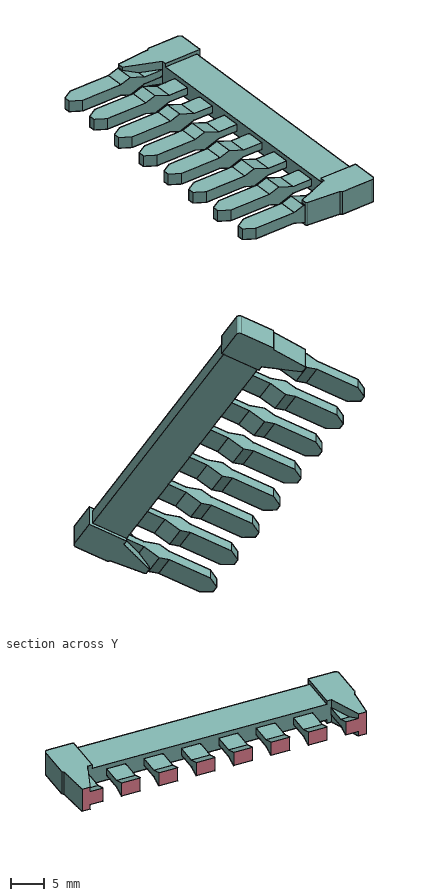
import cadquery as cq

total_width = 47.9
total_length = 22.78

bar_thickness = 2.8
bar_depth = 5.8
bar_setback = 0.58
bar_back = total_length - bar_setback
bar_front = bar_back - bar_depth
bar_middle = (bar_back + bar_front) / 2

prong_count = 8
prong_pitch = 6.1
prong_width = 3.1
prong_thickness = 1.9
root_thickness = 1.2
prong_tip_width = 1.05
prong_taper_length = 1.7
prong_root = bar_middle
bulge_thickness = 3.1
bulge_front = 8.73
bulge_peak = 10.45
bulge_back = 13.06

head_thickness = 4.0
head_width = 4.8
head_corner_radius = 0.55
head_length = 12.05
head_tip = total_length - head_length
step_setback = 6.0
step_length = 0.25
step_back = total_length - step_setback
step_front = step_back - step_length
step_depth = 0.27
tip_outer_inset = 0.78
tip_inner_inset = 1.8
head_inner_inset = 4.05
tip_radius = 0.2


def extrude_centred(outline, thickness):
    """Extrude an outline equally to both sides of its own plane."""
    return outline.extrude(thickness / 2, both=True)


def make_bar():
    """Plain bar reaching into the middle of both heads."""
    length_x = total_width - head_width
    return cq.Workplane("XY").box(length_x, bar_depth, bar_thickness).translate((0, bar_middle, 0))


def make_prong(x_centre):
    """Prong with a thin root, a tapered tip and a ridge on its upper and lower faces."""
    half_width = prong_width / 2
    half_tip = prong_tip_width / 2
    plan = extrude_centred(
        cq.Workplane("XY").polyline([
            (-half_width, prong_root),
            (-half_width, prong_taper_length),
            (-half_tip, 0),
            (half_tip, 0),
            (half_width, prong_taper_length),
            (half_width, prong_root),
        ]).close(),
        bulge_thickness,
    )
    flat = prong_thickness / 2
    peak = bulge_thickness / 2
    root = root_thickness / 2
    upper_edge = [
        (0, flat),
        (bulge_front, flat),
        (bulge_peak, peak),
        (bulge_back, root),
        (prong_root, root),
    ]
    lower_edge = [(y, -z) for y, z in reversed(upper_edge)]
    profile = extrude_centred(
        cq.Workplane("YZ").polyline(upper_edge + lower_edge).close(), prong_width
    )
    return plan.intersect(profile).translate((x_centre, 0, 0))


def make_left_head():
    """Thick end head with a stepped outer side, narrowing to a pointed guard beside the end prong."""
    outer = -total_width / 2
    head = extrude_centred(
        cq.Workplane("XY").polyline([
            (outer, total_length),
            (outer + head_width, total_length),
            (outer + head_width, bar_front),
            (outer + head_inner_inset, bar_front),
            (outer + tip_inner_inset, head_tip),
            (outer + tip_outer_inset, head_tip),
            (outer + step_depth, step_front),
            (outer, step_back),
        ]).close(),
        head_thickness,
    )
    back_corner = cq.selectors.NearestToPointSelector((outer, total_length, 0))
    tip_corner = cq.selectors.NearestToPointSelector((outer + tip_outer_inset, head_tip, 0))
    head = head.edges("|Z").edges(back_corner).fillet(head_corner_radius)
    return head.edges("|Z").edges(tip_corner).fillet(tip_radius)


left_head = make_left_head()
result = make_bar().union(left_head).union(left_head.mirror("YZ"))
first_prong_x = -(prong_count - 1) * prong_pitch / 2
for index in range(prong_count):
    result = result.union(make_prong(first_prong_x + index * prong_pitch))